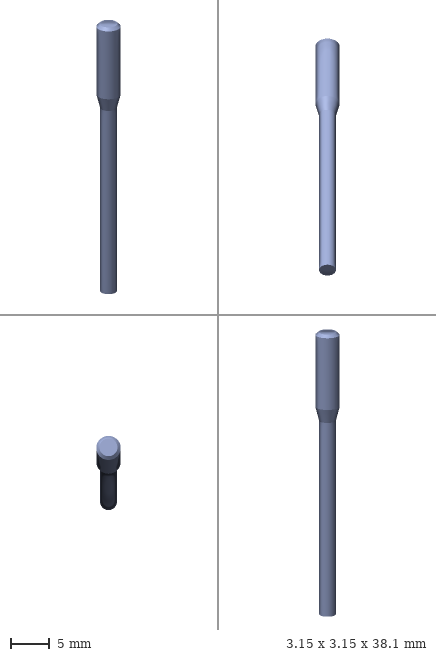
import cadquery as cq

length = 38.1
head_diameter = 3.15
rod_diameter = 2.17

chamfer_width = 0.42
chamfer_height = 0.4
shoulder_depth = 10.05
taper_height = 1.9
collar_height = 0.23

head_radius = head_diameter / 2
rod_radius = rod_diameter / 2
shoulder_z = length - shoulder_depth
collar_top_z = shoulder_z - taper_height
rod_length = collar_top_z - collar_height


def make_head():
    """Upper body: half profile revolved about Z."""
    return (
        cq.Workplane("XZ")
        .moveTo(0, rod_length)
        .lineTo(rod_radius, rod_length)
        .lineTo(rod_radius, collar_top_z)
        .lineTo(head_radius, shoulder_z)
        .lineTo(head_radius, length - chamfer_height)
        .lineTo(head_radius - chamfer_width, length)
        .lineTo(0, length)
        .close()
        .revolve(360, (0, 0), (0, 1))
    )


def make_rod():
    """Lower body: plain round rod that meets the collar face to face."""
    return cq.Workplane("XY").circle(rod_radius).extrude(rod_length)


head = make_head()
rod = make_rod()

result = cq.Compound.makeCompound([head.val(), rod.val()])